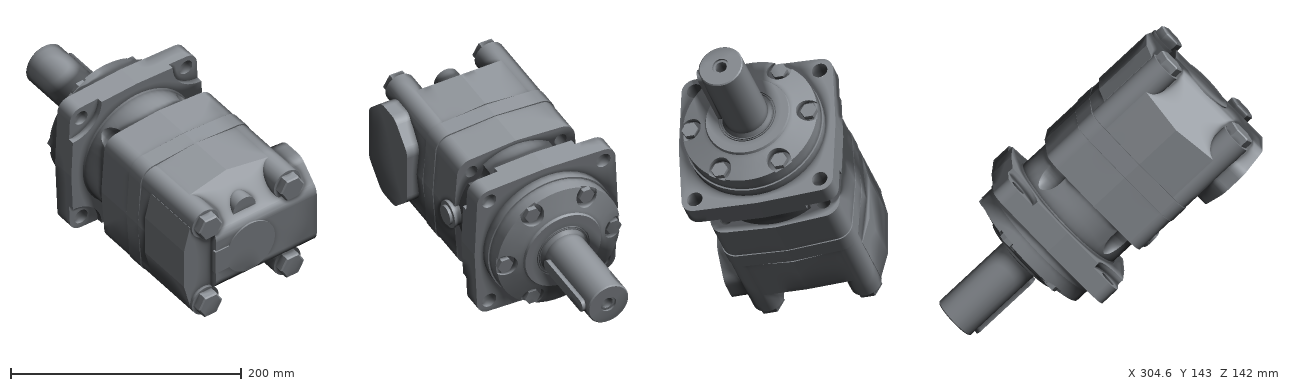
import cadquery as cq
import math


SHAFT_CONE_X = 78.3
COVER_X = 81.8
PILOT_X = 104.1
FLANGE_X = 112.5
BARREL_X = 136.3
GEAR_X = 167.3
JOINT_GAP = 0.6
PLATE_X = 204.9
END_X = 222.1
TUBE_END_X = 296.0
REAR_X = 301.6
DISC_END_X = 302.8
BOLT_END_X = 304.6

SHAFT_D = 40.0
SHAFT_SEAT_D = 45.0
SHAFT_INNER_X = 125.0
SHAFT_CHAMFER = 1.0
CENTRE_RECESS_D = 14.8
CENTRE_RECESS_DEPTH = 2.0
CENTRE_HOLE_D = 10.4
CENTRE_HOLE_DEPTH = 25.0
DRILL_POINT_ANGLE = 118.0
KEY_X = 5.0
KEY_LENGTH = 70.0
KEY_WIDTH = 12.0
KEY_TOP = 23.0
KEY_HEIGHT = 8.0

COVER_D = 121.8
COVER_FACE_D = 77.0
COVER_RIM_X = 90.3
COVER_CONE_X = 84.0
COVER_EDGE = 1.0
SEAL_GROOVE_DIAMETERS = (46.8, 50.2)
SEAL_GROOVE_WIDTH = 0.9
SEAL_GROOVE_DEPTH = 1.5
SCREW_COUNT = 6
SCREW_CIRCLE_R = 53.8
SCREW_RECESS_D = 21.5
SCREW_SEAT_X = 92.4
SCREW_HEAD_X = 87.8
SCREW_FLATS = 13.0

PILOT_D = 125.0
FLANGE_HALF = 71.0
FLANGE_HOLE_OFFSET = 160.0 / 2 * math.sqrt(0.5)
FLANGE_HOLE_D = 14.0
FLANGE_CORNER_R = 12.0
FLANGE_RELIEF_OFFSET = 69.5
FLANGE_RELIEF_R = 31.2
FLANGE_RELIEF_DEPTH = 5.6
BARREL_D = 115.0
BARREL_ROOT = 1.2
GROOVE_D = 24.12
GROOVE_STRAIGHT_X = 158.0
GROOVE_TIP_X = 141.0
GROOVE_TIP_R = 4.9

BOLT_OFFSET = 125.0 / 2 * math.sqrt(0.5)
BLOCK_HOLE_D = 11.84
GEAR_HALF = 61.6
GEAR_CORNER_R = 14.2
PLATE_HALF = 62.0
PLATE_CORNER_R = 15.0
END_HALF = 62.6
TUBE_D = 28.7
FLANK_END = 42.4
FLANK_END_HALF = 58.4
BOLT_FLATS = 22.0
BOLT_HEAD_CHAMFER = 1.2

PORT_TOP = 72.0
PORT_CENTRE_X = 267.0
PORT_HALF_HEIGHT = 50.0
PORT_SLOPE_LEG = 22.5
PORT_EDGE_R = 13.0
PAD_X = 236.2
PAD_END_X = 293.2
PAD_FACE = 65.2
PAD_FACE_HALF = 20.0
PAD_HALF = 44.5
PAD_SIDE = 58.8
BOSS_D = 24.12
BOSS_OFFSET = 36.7
LUG_X = 298.3
LUG_HEIGHT = 1.5
LUG_CHAMFER = 1.0
REAR_DISC_D = 52.0

PLUG_X = 172.5
PLUG_SEAT = 54.0
PLUG_NECK_TOP = 62.0
PLUG_RIM_TOP = 64.6
PLUG_TOP = 67.3
PLUG_NECK_D = 24.12
PLUG_RIM_D = 25.6
PLUG_HEAD_D = 18.2


def section_at(x):
    """A workplane across the shaft axis: local axes are Y and Z, extrusion goes along +X."""
    return cq.Workplane("YZ", origin=(x, 0, 0))


def cylinder_x(x_start, x_end, diameter, y=0, z=0):
    return section_at(x_start).center(y, z).circle(diameter / 2).extrude(x_end - x_start)


def turned(outline):
    """Revolves a closed outline of (x, radius) points about the shaft axis."""
    return cq.Workplane("XY").polyline(outline).close().revolve(360, (0, 0, 0), (1, 0, 0))


def corner_points(offset):
    return [(y, z) for y in (-offset, offset) for z in (-offset, offset)]


def peaked_square(x_start, x_end, half, corner_offset, corner_r):
    """A square block whose sides rise to a ridge at mid-side and whose corners are rounded.

    Each side is tangent to the corner arcs, which are centred at corner_offset.
    """
    rise = math.atan2(half - corner_offset, corner_offset)
    reach = math.hypot(half - corner_offset, corner_offset)
    tilt = rise - math.asin(corner_r / reach)
    corner = half / (1 + math.tan(tilt))
    outline = [
        (half, 0), (corner, corner), (0, half), (-corner, corner),
        (-half, 0), (-corner, -corner), (0, -half), (corner, -corner),
    ]
    block = section_at(x_start).polyline(outline).close().extrude(x_end - x_start)
    for y, z in corner_points(corner):
        near_corner = cq.selectors.BoxSelector((x_start - 1, y - 1, z - 1), (x_end + 1, y + 1, z + 1))
        block = block.edges("|X").edges(near_corner).fillet(corner_r)
    return block


def hexagon_head(x_start, x_end, flats, y, z):
    """A hexagon head with two flats facing +Z and -Z."""
    across_corners = flats / math.cos(math.pi / 6)
    return section_at(x_start).center(y, z).polygon(6, across_corners).extrude(x_end - x_start)


def make_key():
    return (
        cq.Workplane("XZ", origin=(KEY_X + KEY_LENGTH / 2, KEY_TOP, 0))
        .slot2D(KEY_LENGTH, KEY_WIDTH)
        .extrude(KEY_HEIGHT)
    )


def make_shaft(key):
    shaft_r = SHAFT_D / 2
    seat_r = SHAFT_SEAT_D / 2
    shaft = turned([
        (0, 0), (0, shaft_r - SHAFT_CHAMFER), (SHAFT_CHAMFER, shaft_r), (SHAFT_CONE_X, shaft_r),
        (COVER_X, seat_r), (SHAFT_INNER_X, seat_r), (SHAFT_INNER_X, 0),
    ])
    recess_r = CENTRE_RECESS_D / 2
    hole_r = CENTRE_HOLE_D / 2
    point_length = hole_r / math.tan(math.radians(DRILL_POINT_ANGLE / 2))
    centre_hole = turned([
        (0, 0), (0, recess_r), (CENTRE_RECESS_DEPTH, recess_r), (CENTRE_RECESS_DEPTH, hole_r),
        (CENTRE_HOLE_DEPTH, hole_r), (CENTRE_HOLE_DEPTH + point_length, 0),
    ])
    return shaft.cut(centre_hole).cut(key)


def make_front_cover():
    """The conical cover around the shaft, with its six screw heads in open recesses."""
    bore_r = SHAFT_SEAT_D / 2
    face_r = COVER_FACE_D / 2
    rim_r = COVER_D / 2
    cover = turned([
        (COVER_X, bore_r), (COVER_X, face_r - COVER_EDGE),
        (COVER_CONE_X, face_r), (COVER_RIM_X, rim_r), (PILOT_X, rim_r), (PILOT_X, bore_r),
    ])
    for diameter in SEAL_GROOVE_DIAMETERS:
        inner_r = diameter / 2
        groove = (
            section_at(COVER_X)
            .circle(inner_r + SEAL_GROOVE_WIDTH)
            .circle(inner_r)
            .extrude(SEAL_GROOVE_DEPTH)
        )
        cover = cover.cut(groove)
    for index in range(SCREW_COUNT):
        angle = 2 * math.pi * index / SCREW_COUNT
        y = SCREW_CIRCLE_R * math.cos(angle)
        z = SCREW_CIRCLE_R * math.sin(angle)
        cover = cover.cut(cylinder_x(COVER_X, SCREW_SEAT_X, SCREW_RECESS_D, y, z))
        cover = cover.union(hexagon_head(SCREW_HEAD_X, SCREW_SEAT_X, SCREW_FLATS, y, z))
    return cover


def make_bolt_groove():
    """The cutter for one bolt groove: a cylinder whose front runs out along an arc."""
    groove_r = GROOVE_D / 2
    run = GROOVE_STRAIGHT_X - GROOVE_TIP_X
    drop = groove_r - GROOVE_TIP_R
    arc_r = (run**2 + drop**2) / (2 * drop)
    half_angle = math.asin(run / arc_r) / 2
    arc_middle = (
        GROOVE_STRAIGHT_X - arc_r * math.sin(half_angle),
        groove_r - arc_r * (1 - math.cos(half_angle)),
    )
    return (
        cq.Workplane("XY")
        .moveTo(GROOVE_TIP_X, 0)
        .lineTo(GROOVE_TIP_X, GROOVE_TIP_R)
        .threePointArc(arc_middle, (GROOVE_STRAIGHT_X, groove_r))
        .lineTo(GEAR_X, groove_r)
        .lineTo(GEAR_X, 0)
        .close()
        .revolve(360, (0, 0, 0), (1, 0, 0))
    )


def make_housing(shaft, plug):
    """The mounting flange with its front pilot and the round barrel behind it."""
    barrel_r = BARREL_D / 2
    housing = peaked_square(
        FLANGE_X, BARREL_X, FLANGE_HALF, FLANGE_HOLE_OFFSET, FLANGE_CORNER_R
    )
    for y, z in corner_points(FLANGE_HOLE_OFFSET):
        housing = housing.cut(cylinder_x(FLANGE_X, BARREL_X, FLANGE_HOLE_D, y, z))
    relief_x = BARREL_X - FLANGE_RELIEF_DEPTH
    for y, z in corner_points(FLANGE_RELIEF_OFFSET):
        housing = housing.cut(cylinder_x(relief_x, BARREL_X, 2 * FLANGE_RELIEF_R, y, z))
    round_body = turned([
        (PILOT_X, 0), (PILOT_X, PILOT_D / 2), (FLANGE_X, PILOT_D / 2),
        (FLANGE_X, barrel_r + BARREL_ROOT), (BARREL_X, barrel_r + BARREL_ROOT),
        (BARREL_X + BARREL_ROOT, barrel_r), (GEAR_X, barrel_r), (GEAR_X, 0),
    ])
    housing = housing.union(round_body)
    groove = make_bolt_groove()
    for y, z in corner_points(BOLT_OFFSET):
        housing = housing.cut(groove.translate((0, y, z)))
    return housing.cut(shaft).cut(plug)


def make_gear_block(plug):
    block = peaked_square(GEAR_X, PLATE_X - JOINT_GAP, GEAR_HALF, BOLT_OFFSET, GEAR_CORNER_R)
    for y, z in corner_points(BOLT_OFFSET):
        block = block.cut(cylinder_x(GEAR_X, PLATE_X - JOINT_GAP, BLOCK_HOLE_D, y, z))
    return block.cut(plug)


def make_plate():
    return peaked_square(PLATE_X, END_X - JOINT_GAP, PLATE_HALF, BOLT_OFFSET, PLATE_CORNER_R)


def make_port_block():
    """The port block on the +Y side: a rounded octagon that reaches in to the shaft axis."""
    half_width = REAR_X - PORT_CENTRE_X
    top_half = half_width - PORT_SLOPE_LEG
    side_half = PORT_HALF_HEIGHT - PORT_SLOPE_LEG
    outline = [
        (half_width, side_half), (top_half, PORT_HALF_HEIGHT),
        (-top_half, PORT_HALF_HEIGHT), (-half_width, side_half),
        (-half_width, -side_half), (-top_half, -PORT_HALF_HEIGHT),
        (top_half, -PORT_HALF_HEIGHT), (half_width, -side_half),
    ]
    block = (
        cq.Workplane("XZ", origin=(PORT_CENTRE_X, PORT_TOP, 0))
        .polyline(outline)
        .close()
        .extrude(PORT_TOP)
    )
    return block.edges("|Y").fillet(PORT_EDGE_R)


def make_end_body():
    """The core of the end cover, tapered at the rear towards +Z and -Z."""
    outline = []
    for quarter in range(4):
        turn = math.pi / 2 * quarter
        for y, z in ((END_HALF, 0), (FLANK_END_HALF, FLANK_END), (FLANK_END, FLANK_END_HALF)):
            outline.append((
                y * math.cos(turn) - z * math.sin(turn),
                y * math.sin(turn) + z * math.cos(turn),
            ))
    core = section_at(END_X).polyline(outline).close().extrude(REAR_X - END_X)

    rear_half = PORT_HALF_HEIGHT - PORT_SLOPE_LEG
    taper_start_x = REAR_X - (END_HALF - rear_half)
    side_profile = (
        cq.Workplane("XZ", origin=(0, END_HALF, 0))
        .polyline([
            (END_X, END_HALF), (taper_start_x, END_HALF), (REAR_X, rear_half),
            (REAR_X, -rear_half), (taper_start_x, -END_HALF), (END_X, -END_HALF),
        ])
        .close()
        .extrude(2 * END_HALF)
        .edges("|Y and >X")
        .fillet(PORT_EDGE_R)
    )
    core = core.intersect(side_profile)

    step = cq.Workplane("XY").box(
        REAR_X - PAD_END_X, END_HALF - BOSS_OFFSET, 2 * END_HALF, centered=(False, False, True)
    )
    return core.cut(step.translate((PAD_END_X, -END_HALF, 0)))


def make_side_pad():
    """The facetted pad on the -Y side."""
    return (
        section_at(PAD_X)
        .polyline([
            (-BOSS_OFFSET, -PAD_HALF), (-PAD_SIDE, -PAD_HALF), (-PAD_FACE, -PAD_FACE_HALF),
            (-PAD_FACE, PAD_FACE_HALF), (-PAD_SIDE, PAD_HALF), (-BOSS_OFFSET, PAD_HALF),
        ])
        .close()
        .extrude(PAD_END_X - PAD_X)
    )


def make_rear_lug():
    """The flat lug that joins the -Y side of the rear step to the rear disc."""
    depth = BOSS_OFFSET + LUG_HEIGHT
    lug = cq.Workplane("XY").box(
        DISC_END_X - LUG_X, depth, BOSS_D, centered=(False, False, True)
    )
    lug = lug.edges("|Y and <X").chamfer(LUG_CHAMFER)
    return lug.translate((LUG_X, -depth, 0))


def make_end_cover():
    """The end cover with its bolt tubes, bolt heads, ports and bosses."""
    cover = make_end_body()
    cover = cover.union(make_port_block())
    cover = cover.union(make_side_pad())
    for y, z in corner_points(BOLT_OFFSET):
        cover = cover.union(cylinder_x(END_X, TUBE_END_X, TUBE_D, y, z))
        head = hexagon_head(TUBE_END_X, BOLT_END_X, BOLT_FLATS, y, z)
        head = head.faces(">X").edges().chamfer(BOLT_HEAD_CHAMFER)
        cover = cover.union(head)
    boss_root_x = PAD_END_X - BOSS_D
    cover = cover.union(cylinder_x(boss_root_x, PAD_END_X, BOSS_D, z=BOSS_OFFSET))
    cover = cover.union(make_rear_lug())
    return cover.union(cylinder_x(PAD_END_X, DISC_END_X, REAR_DISC_D))


def make_drain_plug():
    plug = None
    steps = (
        (PLUG_SEAT, PLUG_NECK_TOP, PLUG_NECK_D),
        (PLUG_NECK_TOP, PLUG_RIM_TOP, PLUG_RIM_D),
        (PLUG_RIM_TOP, PLUG_TOP, PLUG_HEAD_D),
    )
    for bottom, top, diameter in steps:
        step = (
            cq.Workplane("XZ", origin=(PLUG_X, top, 0)).circle(diameter / 2).extrude(top - bottom)
        )
        plug = step if plug is None else plug.union(step)
    return plug


key = make_key()
shaft = make_shaft(key)
drain_plug = make_drain_plug()
front_cover = make_front_cover()
housing = make_housing(shaft, drain_plug)
gear_block = make_gear_block(drain_plug)
plate = make_plate()
end_cover = make_end_cover()

result = cq.Compound.makeCompound([
    shaft.val(),
    key.val(),
    front_cover.val(),
    housing.val(),
    gear_block.val(),
    plate.val(),
    end_cover.val(),
    drain_plug.val(),
])